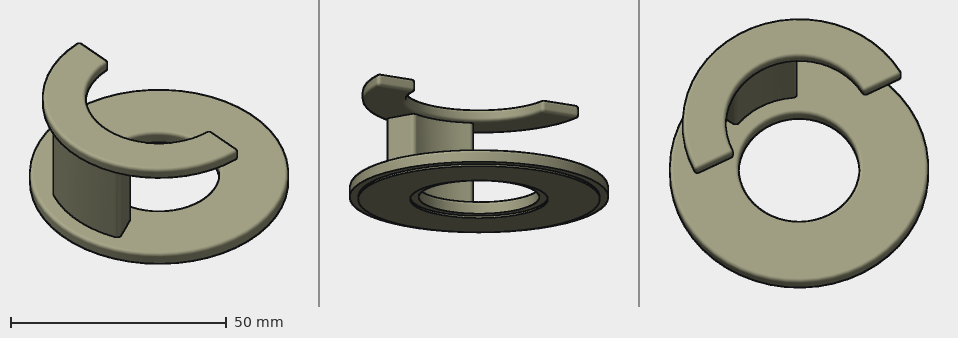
import cadquery as cq
import math

edge_radius = 0.85

base_radius = 30.0
bore_radius = 14.0
base_thickness = 3.0

pad_thickness = 0.51
pad_inset = 2.0

hook_outer_radius = 27.0
hook_inner_radius = 17.0
hook_thickness = 3.0

post_height = 20.0
post_outer_radius = 26.0
post_inner_radius = 18.0
post_half_angle = 26.2
post_corner_radius = 1.0

base_bottom = pad_thickness
base_top = base_bottom + base_thickness
hook_bottom = base_top + post_height


def polar_point(radius, angle):
    """Point at a radius, with the angle in degrees measured from -Y towards +X."""
    radians = math.radians(angle)
    return (radius * math.sin(radians), -radius * math.cos(radians))


def ring_sector(inner_radius, outer_radius, half_angle, bottom, height):
    """Annular sector centred on the -Y direction, with radial end faces."""
    return (
        cq.Workplane("XY", origin=(0, 0, bottom))
        .moveTo(*polar_point(inner_radius, -half_angle))
        .lineTo(*polar_point(outer_radius, -half_angle))
        .threePointArc(polar_point(outer_radius, 0), polar_point(outer_radius, half_angle))
        .lineTo(*polar_point(inner_radius, half_angle))
        .threePointArc(polar_point(inner_radius, 0), polar_point(inner_radius, -half_angle))
        .close()
        .extrude(height)
    )


def flat_ring(inner_radius, outer_radius, bottom, thickness):
    """Flat ring around the Z axis."""
    return (
        cq.Workplane("XY", origin=(0, 0, bottom))
        .circle(outer_radius)
        .circle(inner_radius)
        .extrude(thickness)
    )


def make_pad():
    """Thin pad under the base, set in from its rim and its bore."""
    return flat_ring(bore_radius + pad_inset, base_radius - pad_inset, 0, pad_thickness)


def make_base():
    """Base ring with its upper rim and bore edges rounded."""
    base = flat_ring(bore_radius, base_radius, base_bottom, base_thickness)
    return base.faces(">Z").edges().fillet(edge_radius)


def make_post():
    """Curved post between the base and the hook, with rounded upright corners."""
    post = ring_sector(post_inner_radius, post_outer_radius, post_half_angle, base_top, post_height)
    return post.edges("|Z").fillet(post_corner_radius)


def make_hook():
    """Half ring on top of the post, rounded on every edge."""
    half_turn = 90
    hook = ring_sector(hook_inner_radius, hook_outer_radius, half_turn, hook_bottom, hook_thickness)
    return hook.edges().fillet(edge_radius)


pad = make_pad()
base = make_base()
post = make_post()
hook = make_hook()

result = cq.Compound.makeCompound([pad.val(), base.val(), post.val(), hook.val()])